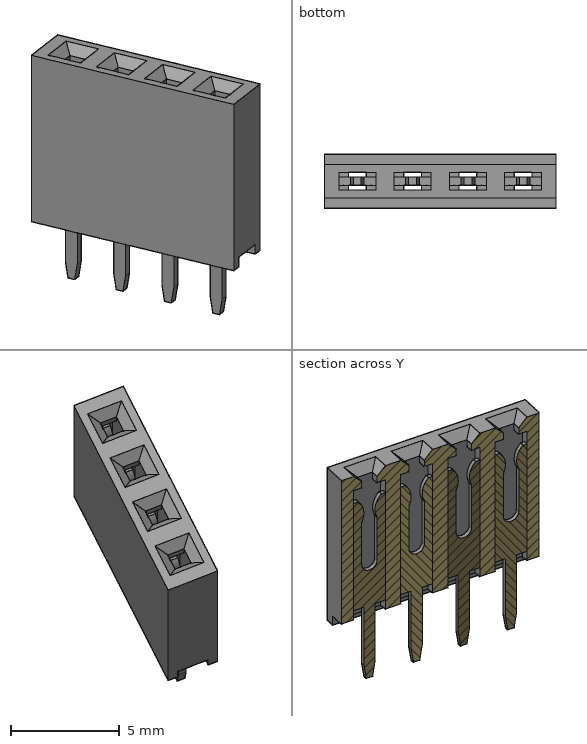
import cadquery as cq
import math

POSITIONS = 4
PITCH = 2.54
END_MARGIN = 1.52
HOUSING_LENGTH = (POSITIONS - 1) * PITCH + 2 * END_MARGIN
HOUSING_DEPTH = 2.5
HOUSING_HEIGHT = 8.5

FOOT_WIDTH = 0.48
CHANNEL_HEIGHT = 0.5
CHANNEL_WIDTH = HOUSING_DEPTH - 2 * FOOT_WIDTH

MOUTH_SIZE = 1.7
THROAT_SIZE = 0.8
MOUTH_DEPTH = (MOUTH_SIZE - THROAT_SIZE) / 2
THROAT_LENGTH = 0.37
CAVITY_WIDTH = MOUTH_SIZE
CAVITY_TOP = HOUSING_HEIGHT - MOUTH_DEPTH - THROAT_LENGTH

CONTACT_THICKNESS = 0.39
OVERALL_HEIGHT = 11.5
TAIL_LENGTH = OVERALL_HEIGHT - HOUSING_HEIGHT
STEM_WIDTH = 0.63
TIP_WIDTH = 0.36
TIP_LENGTH = 0.83
SHOULDER_Z = 1.0
FORK_TOP = 7.0
NECK_GAP = 0.58
BULGE_RADIUS = 1.0
TINE_TIP_WIDTH = 0.22
SLOT_RADIUS = 0.4
SLOT_BOTTOM = 3.0

CONTACT_X = [(i - (POSITIONS - 1) / 2) * PITCH for i in range(POSITIONS)]


def make_entry(x):
    """Return the space cut out of the housing for the contact at x."""
    mouth = (
        cq.Workplane("XY", origin=(x, 0, HOUSING_HEIGHT))
        .rect(MOUTH_SIZE, MOUTH_SIZE)
        .workplane(offset=-MOUTH_DEPTH)
        .rect(THROAT_SIZE, THROAT_SIZE)
        .loft(ruled=True)
    )
    throat = (
        cq.Workplane("XY", origin=(x, 0, CAVITY_TOP))
        .rect(THROAT_SIZE, THROAT_SIZE)
        .extrude(THROAT_LENGTH)
    )
    cavity = cq.Workplane("XY", origin=(x, 0, 0)).rect(CAVITY_WIDTH, THROAT_SIZE).extrude(CAVITY_TOP)
    return mouth.union(throat).union(cavity)


def make_housing():
    """Return the block with its standoff channel and one entry per contact."""
    housing = cq.Workplane("XY").rect(HOUSING_LENGTH, HOUSING_DEPTH).extrude(HOUSING_HEIGHT)
    channel = cq.Workplane("XY").rect(HOUSING_LENGTH, CHANNEL_WIDTH).extrude(CHANNEL_HEIGHT)
    housing = housing.cut(channel)
    for x in CONTACT_X:
        housing = housing.cut(make_entry(x))
    return housing


def bulge_reach(retreat):
    """Return the height along Z over which a tine's bulge falls back by retreat from the neck."""
    return math.sqrt(BULGE_RADIUS**2 - (BULGE_RADIUS - retreat) ** 2)


def make_contact(x):
    """Return the fork contact at x, its shoulders touching the cavity side walls."""
    fork_half = CAVITY_WIDTH / 2
    stem_half = STEM_WIDTH / 2
    tip_half = TIP_WIDTH / 2
    neck_half = NECK_GAP / 2
    tip_inner = fork_half - TINE_TIP_WIDTH
    neck_z = FORK_TOP - bulge_reach(tip_inner - neck_half)
    bulge_bottom = neck_z - bulge_reach(SLOT_RADIUS - neck_half)
    slot_centre_z = SLOT_BOTTOM + SLOT_RADIUS
    profile = (
        cq.Workplane("XZ", origin=(x, CONTACT_THICKNESS / 2, 0))
        .moveTo(-tip_half, -TAIL_LENGTH)
        .lineTo(tip_half, -TAIL_LENGTH)
        .lineTo(stem_half, TIP_LENGTH - TAIL_LENGTH)
        .lineTo(stem_half, SHOULDER_Z)
        .lineTo(fork_half, SHOULDER_Z)
        .lineTo(fork_half, FORK_TOP)
        .lineTo(tip_inner, FORK_TOP)
        .threePointArc((neck_half, neck_z), (SLOT_RADIUS, bulge_bottom))
        .lineTo(SLOT_RADIUS, slot_centre_z)
        .threePointArc((0, SLOT_BOTTOM), (-SLOT_RADIUS, slot_centre_z))
        .lineTo(-SLOT_RADIUS, bulge_bottom)
        .threePointArc((-neck_half, neck_z), (-tip_inner, FORK_TOP))
        .lineTo(-fork_half, FORK_TOP)
        .lineTo(-fork_half, SHOULDER_Z)
        .lineTo(-stem_half, SHOULDER_Z)
        .lineTo(-stem_half, TIP_LENGTH - TAIL_LENGTH)
        .close()
    )
    return profile.extrude(CONTACT_THICKNESS)


housing = make_housing()
contacts = [make_contact(x) for x in CONTACT_X]

result = cq.Compound.makeCompound([housing.val(), *[contact.val() for contact in contacts]])